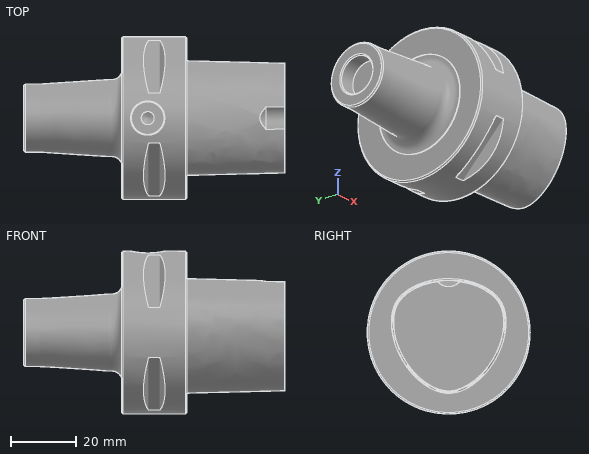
import cadquery as cq
import math

total_length = 80.0
flange_start = 30.0
flange_width = 20.0
flange_end = flange_start + flange_width
flange_middle = flange_start + flange_width / 2
shank_length = total_length - flange_end

flange_radius = 50.0 / 2
edge_chamfer = 0.5

tip_radius = 21.0 / 2
tip_length = 5.0
nose_radius = 23.7 / 2
cone_end = 25.8
undercut_radius = 3.3
undercut_depth = 0.2
undercut_rim_radius = 16.2

bore_diameter = 12.5
bore_depth = 5.8
bore_chamfer = 0.4

groove_count = 4
groove_floor_width = 3.4
groove_floor_radius = 22.2
groove_flank_angle = 30.0
groove_fillet = 0.3

pocket_x = 38.0
pocket_diameter = 10.5
pocket_floor_diameter = 10.0
pocket_floor_height = 19.8
dimple_diameter = 4.0
dimple_angle = 140.0

shank_diameter = 35.2
shank_taper = 1 / 20
lobe_eccentricity = 2.1
lobe_points = 36

notch_radius = 4.5
notch_axis_height = 18.6
notch_length = 5.8


def make_turned_body():
    """Nose, undercut and flange as one profile turned about X."""
    undercut_bottom = flange_start + undercut_depth
    undercut_start = undercut_bottom - undercut_radius
    undercut_centre_radius = nose_radius + undercut_radius
    arc_offset = undercut_radius * math.sin(math.radians(45))
    arc_middle = (undercut_start + arc_offset, undercut_centre_radius - arc_offset)
    return (
        cq.Workplane("XY")
        .moveTo(0, 0)
        .lineTo(0, tip_radius - edge_chamfer)
        .lineTo(edge_chamfer, tip_radius)
        .lineTo(tip_length, tip_radius)
        .lineTo(cone_end, nose_radius)
        .lineTo(undercut_start, nose_radius)
        .threePointArc(arc_middle, (undercut_bottom, undercut_centre_radius))
        .lineTo(undercut_bottom, undercut_rim_radius)
        .lineTo(flange_start, undercut_rim_radius)
        .lineTo(flange_start, flange_radius - edge_chamfer)
        .lineTo(flange_start + edge_chamfer, flange_radius)
        .lineTo(flange_end - edge_chamfer, flange_radius)
        .lineTo(flange_end, flange_radius - edge_chamfer)
        .lineTo(flange_end, 0)
        .close()
        .revolve(360, (0, 0, 0), (1, 0, 0))
    )


def lobe_outline(diameter):
    """Points of the three-lobed curve, with a flat side at +Z and a lobe at -Z."""
    points = []
    for index in range(lobe_points):
        angle = 2 * math.pi * index / lobe_points
        z = (diameter / 2 * math.cos(angle) - lobe_eccentricity * math.cos(2 * angle)
             + lobe_eccentricity / 2 * math.cos(4 * angle))
        y = (diameter / 2 * math.sin(angle) + lobe_eccentricity * math.sin(2 * angle)
             + lobe_eccentricity / 2 * math.sin(4 * angle))
        points.append((y, z))
    return points


def make_shank():
    end_diameter = shank_diameter - shank_length * shank_taper
    return (
        cq.Workplane("YZ", origin=(flange_end, 0, 0))
        .spline(lobe_outline(shank_diameter), periodic=True)
        .close()
        .workplane(offset=shank_length)
        .spline(lobe_outline(end_diameter), periodic=True)
        .close()
        .loft(ruled=True)
    )


def make_bore():
    """Blind bore from the nose tip, with a chamfered mouth."""
    bore_radius = bore_diameter / 2
    return (
        cq.Workplane("XY")
        .moveTo(0, 0)
        .lineTo(0, bore_radius + bore_chamfer)
        .lineTo(bore_chamfer, bore_radius)
        .lineTo(bore_depth, bore_radius)
        .lineTo(bore_depth, 0)
        .close()
        .revolve(360, (0, 0, 0), (1, 0, 0))
    )


def make_groove(angle):
    """Straight groove with sloping flanks, turned about X to the given angle."""
    height = flange_radius - groove_floor_radius
    floor_half = groove_floor_width / 2
    top_half = floor_half + height * math.tan(math.radians(groove_flank_angle))
    return (
        cq.Workplane("XZ")
        .moveTo(flange_middle - floor_half, groove_floor_radius)
        .lineTo(flange_middle + floor_half, groove_floor_radius)
        .lineTo(flange_middle + top_half, flange_radius)
        .lineTo(flange_middle - top_half, flange_radius)
        .close()
        .extrude(flange_radius, both=True)
        .faces("<Z")
        .edges("|Y")
        .fillet(groove_fillet)
        .rotate((0, 0, 0), (1, 0, 0), angle)
    )


def make_pocket():
    """Flat-bottomed round pocket with a bevelled floor edge and a conical dimple."""
    floor_bevel = (pocket_diameter - pocket_floor_diameter) / 2
    dimple_radius = dimple_diameter / 2
    dimple_depth = dimple_radius / math.tan(math.radians(dimple_angle / 2))
    return (
        cq.Workplane("XZ", origin=(pocket_x, 0, pocket_floor_height))
        .moveTo(0, -dimple_depth)
        .lineTo(dimple_radius, 0)
        .lineTo(pocket_floor_diameter / 2, 0)
        .lineTo(pocket_diameter / 2, floor_bevel)
        .lineTo(pocket_diameter / 2, flange_radius - pocket_floor_height)
        .lineTo(0, flange_radius - pocket_floor_height)
        .close()
        .revolve(360, (0, 0, 0), (0, 1, 0))
    )


def make_notch():
    """Round notch along the shank end, closed by a 90 degree conical end."""
    notch_start = total_length - notch_length
    return (
        cq.Workplane("XZ")
        .moveTo(notch_start - notch_radius, notch_axis_height)
        .lineTo(notch_start, notch_axis_height - notch_radius)
        .lineTo(total_length, notch_axis_height - notch_radius)
        .lineTo(total_length, notch_axis_height)
        .close()
        .revolve(360, (0, notch_axis_height, 0), (1, notch_axis_height, 0))
    )


body = make_turned_body().union(make_shank())
body = body.cut(make_bore()).cut(make_pocket()).cut(make_notch())
for index in range(groove_count):
    body = body.cut(make_groove((index + 0.5) * 360 / groove_count))

result = body